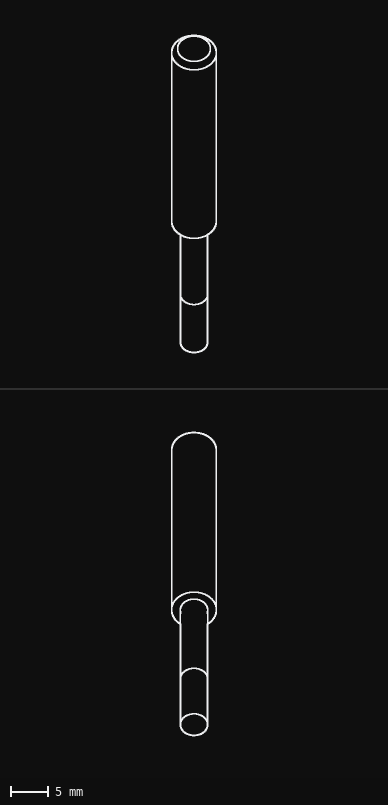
import cadquery as cq

total_length = 62.0

shank_diameter = 6.0
shank_length = 36.0
chamfer_height = 0.8
chamfer_width = 0.8

neck_diameter = 3.65
head_length = 10.7
tip_height = 0.7

top_z = total_length / 2
tip_z = -total_length / 2
shank_bottom_z = top_z - shank_length
head_top_z = tip_z + head_length


def make_shank():
    """Chamfered shank and the neck below it, turned as one profile about Z."""
    shank_radius = shank_diameter / 2
    neck_radius = neck_diameter / 2
    profile = (
        cq.Workplane("XZ")
        .moveTo(0, head_top_z)
        .lineTo(neck_radius, head_top_z)
        .lineTo(neck_radius, shank_bottom_z)
        .lineTo(shank_radius, shank_bottom_z)
        .lineTo(shank_radius, top_z - chamfer_height)
        .lineTo(shank_radius - chamfer_width, top_z)
        .lineTo(0, top_z)
        .close()
    )
    return profile.revolve(360, (0, 0), (0, 1))


def make_head():
    """Cutting head: a cylinder that ends in a shallow cone pointing down."""
    head_radius = neck_diameter / 2
    profile = (
        cq.Workplane("XZ")
        .moveTo(0, tip_z)
        .lineTo(head_radius, tip_z + tip_height)
        .lineTo(head_radius, head_top_z)
        .lineTo(0, head_top_z)
        .close()
    )
    return profile.revolve(360, (0, 0), (0, 1))


shank = make_shank()
head = make_head()

result = cq.Compound.makeCompound([shank.val(), head.val()])